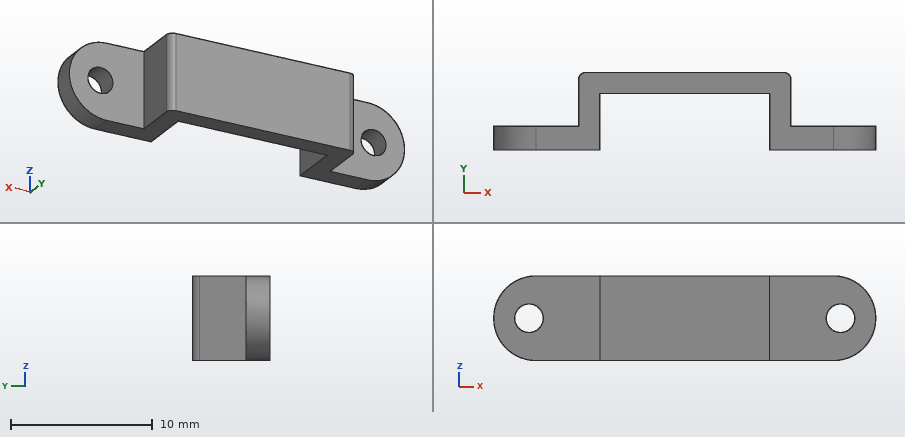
import cadquery as cq

total_length = 27.0
total_depth = 5.5
height = 6.0

channel_width = 12.0
wall = 1.5
bridge_width = channel_width + 2 * wall
bridge_corner_radius = 0.5

ear_thickness = 1.7
end_radius = height / 2
hole_diameter = 2.0
hole_edge_distance = 2.5
hole_spacing = total_length - 2 * hole_edge_distance


def ear_plate():
    """Flat plate with rounded ends, lying against the mounting face at Y = 0."""
    return (
        cq.Workplane("XZ")
        .slot2D(total_length, 2 * end_radius)
        .extrude(-ear_thickness)
    )


def bridge():
    """Raised block with its two outer vertical edges rounded."""
    block = cq.Workplane("XY").box(bridge_width, total_depth, height, centered=(True, False, True))
    return block.edges("|Z and >Y").fillet(bridge_corner_radius)


def channel():
    """Opening under the bridge, running the full height."""
    return cq.Workplane("XY").box(
        channel_width, total_depth - wall, height, centered=(True, False, True)
    )


def mounting_holes():
    """Screw holes through both ears along Y."""
    return (
        cq.Workplane("XZ")
        .pushPoints([(-hole_spacing / 2, 0), (hole_spacing / 2, 0)])
        .circle(hole_diameter / 2)
        .extrude(-ear_thickness)
    )


result = ear_plate().union(bridge()).cut(channel()).cut(mounting_holes())